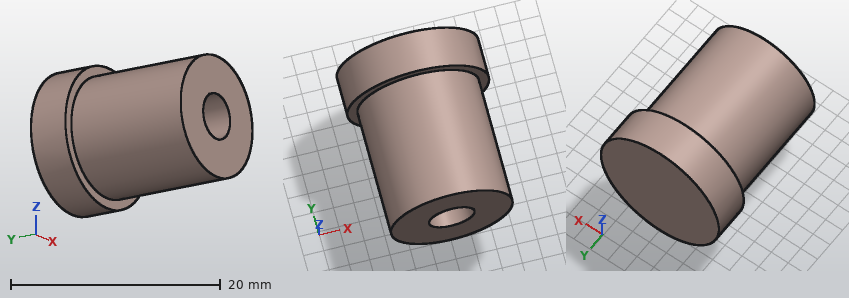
import cadquery as cq

total_length = 16.7
head_length = 4.0
head_diameter = 14.0
shank_diameter = 12.0
bore_diameter = 4.5
shank_length = total_length - head_length
front_y = -total_length / 2
shoulder_y = front_y + shank_length


def cylinder_along_y(diameter, length, start_y):
    """Cylinder on the Y axis, running toward +Y from start_y."""
    return (
        cq.Workplane("XZ", origin=(0, start_y, 0))
        .circle(diameter / 2)
        .extrude(-length)
    )


def make_sleeve():
    """Round shank with a bore through its full length."""
    shank = cylinder_along_y(shank_diameter, shank_length, front_y)
    bore = cylinder_along_y(bore_diameter, shank_length, front_y)
    return shank.cut(bore)


def make_head():
    """Plain disc that closes the far end of the sleeve."""
    return cylinder_along_y(head_diameter, head_length, shoulder_y)


sleeve = make_sleeve()
head = make_head()

result = cq.Compound.makeCompound([sleeve.val(), head.val()])